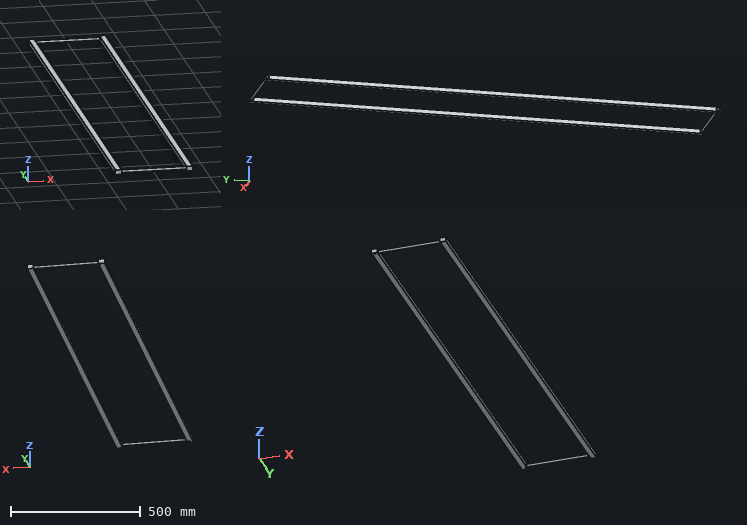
import cadquery as cq

frame_width = 304.8
frame_length = 1810.0

rail_width = 25.4
rail_height = 19.05
rail_offset = (frame_width - rail_width) / 2

rod_diameter = 12.7
rod_length = frame_width - rail_width
rod_end_distance = 12.7
rod_offset = frame_length / 2 - rod_end_distance


def make_rod(y):
    """Cross rod from the outer face of the left rail to the inner face of the right rail."""
    return (
        cq.Workplane("YZ", origin=(-frame_width / 2, y, 0))
        .circle(rod_diameter / 2)
        .extrude(rod_length)
    )


def make_rail(x):
    """Plain rectangular side rail."""
    return cq.Workplane("XY").box(rail_width, frame_length, rail_height).translate((x, 0, 0))


rods = [make_rod(side * rod_offset) for side in (-1, 1)]

left_rail = make_rail(-rail_offset)
for rod in rods:
    left_rail = left_rail.cut(rod)

right_rail = make_rail(rail_offset)

result = cq.Compound.makeCompound([
    left_rail.solids().val(),
    right_rail.val(),
    *[rod.val() for rod in rods],
])